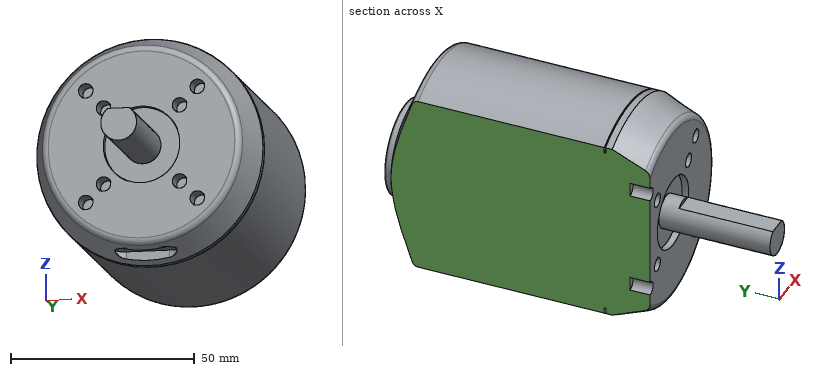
import cadquery as cq

overall_length = 111.0
body_radius = 63.0 / 2

shaft_radius = 10.0 / 2
shaft_length = 31.1
flat_length = 28.0
flat_height = 4.0

front_face_y = shaft_length
front_face_radius = 27.4
front_cone_end_y = 42.4
front_edge_fillet = 2.0

gap_radius = 60.0 / 2
gap_start_y = 44.4
gap_width = 0.3

shoulder_start_y = 101.6
shoulder_end_y = 108.5
shoulder_end_radius = 15.3
shoulder_fillet = 2.0
boss_radius = 28.0 / 2
boss_edge_fillet = 0.4

recess_radius = 21.3 / 2
recess_depth = 2.0
hole_diameter = 4.0
hole_depth = 6.0
hole_circle_radii = (15.0, 22.0)
holes_per_circle = 4

slot_length = 17.1
slot_width = 5.1
slot_center_y = 37.2
slot_floor_z = -28.0


def front_cylinder(radius, start_y, length):
    """Solid cylinder along +Y from start_y."""
    return cq.Workplane("XZ", origin=(0, start_y, 0)).circle(radius).extrude(-length)


def make_body():
    """Bell, can and rear shoulder as one turned solid, with both main edges rounded."""
    profile = [
        (0, front_face_y),
        (front_face_radius, front_face_y),
        (body_radius, front_cone_end_y),
        (body_radius, gap_start_y),
        (gap_radius, gap_start_y),
        (gap_radius, gap_start_y + gap_width),
        (body_radius, gap_start_y + gap_width),
        (body_radius, shoulder_start_y),
        (shoulder_end_radius, shoulder_end_y),
        (0, shoulder_end_y),
    ]
    body = cq.Workplane("XY").polyline(profile).close().revolve(360, (0, 0, 0), (0, 1, 0))
    body = body.faces("<Y").edges().fillet(front_edge_fillet)
    shoulder_edge = cq.NearestToPointSelector((0, shoulder_start_y, 0))
    body = body.edges("%CIRCLE").edges(shoulder_edge).fillet(shoulder_fillet)
    return body


def make_shaft():
    """Shaft reaching from its free end to the floor of the bearing recess."""
    shaft = front_cylinder(shaft_radius, 0, shaft_length + recess_depth)
    flat_cut = cq.Workplane("XY", origin=(0, 0, flat_height)).rect(
        2 * shaft_radius, 2 * flat_length).extrude(shaft_radius)
    return shaft.cut(flat_cut)


def make_mounting_holes():
    """Two circles of blind holes on the diagonals of the front face."""
    face = cq.Workplane("XZ", origin=(0, front_face_y, 0))
    for circle_radius in hole_circle_radii:
        face = face.polarArray(circle_radius, 45, 360, holes_per_circle)
        face = face.circle(hole_diameter / 2).extrude(-hole_depth)
    return face


def make_wire_slot():
    """Round-ended slot cut from below up to a flat floor."""
    return cq.Workplane("XY", origin=(0, slot_center_y, slot_floor_z)).slot2D(
        slot_length, slot_width).extrude(-body_radius)


boss = front_cylinder(boss_radius, shoulder_end_y, overall_length - shoulder_end_y)
boss = boss.faces(">Y").edges().fillet(boss_edge_fillet)
recess = front_cylinder(recess_radius, front_face_y, recess_depth)

result = make_body().union(boss).cut(recess).cut(make_mounting_holes()).cut(make_wire_slot())
result = result.union(make_shaft())